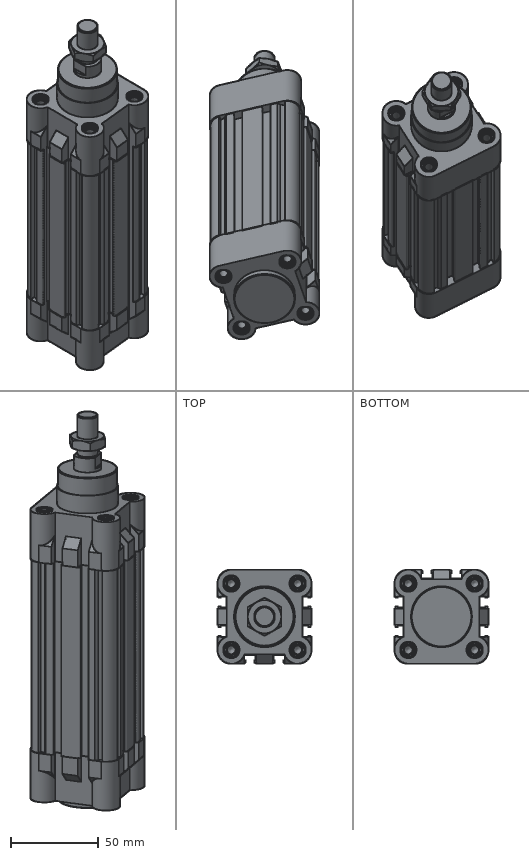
import cadquery as cq
import math


FRONT_FACE_Z = 175.0
COVER_HEIGHT = 29.6
TUBE_LENGTH = FRONT_FACE_Z - 2 * COVER_HEIGHT
COLLAR_HEIGHT = 21.5
COLLAR_STEP_HEIGHT = 10.75
SHOULDER_DISTANCE = 30.0
SHOULDER_Z = FRONT_FACE_Z + SHOULDER_DISTANCE
THREAD_LENGTH = 24.0
ROD_TIP_Z = SHOULDER_Z + THREAD_LENGTH
REAR_SPIGOT_HEIGHT = 4.0

HALF_WIDTH = 27.0
CORNER_RADIUS = 8.0
SCREW_OFFSET = HALF_WIDTH - CORNER_RADIUS
RECESSED_FACE = 21.5
TAB_HEIGHT = 10.5
TAB_SLOPE_HEIGHT = HALF_WIDTH - RECESSED_FACE
CENTER_TAB_HALF_WIDTH = 4.7
CORNER_TAB_INNER = 11.5
CORNER_TAB_OUTER = 19.2

COLLAR_DIAMETER = 35.0
COLLAR_TOP_DIAMETER = 34.0
COLLAR_CHAMFER = 0.5
SPIGOT_CHAMFER = 0.5

SCREW_HOLE_MOUTH_DIAMETER = 9.5
SCREW_HOLE_STEPS = [(9.0, 1.0), (8.0, 2.0), (6.0, 3.0), (4.92, 16.0)]
DRILL_POINT_ANGLE = 118.0

TUBE_HALF_WIDTH = 26.5
SLOT_INNER = 5.3
SLOT_OUTER = 11.5
SLOT_FLOOR = 22.0
LIP_RADIUS = 0.65
LIP_THICKNESS = 1.5
GROOVE_RIB_EDGE = 15.1
GROOVE_WALL = 19.3
GROOVE_FACET_SLOPES = [48.0, 27.0, 15.0]
GROOVE_FACET_WIDTH = (GROOVE_WALL - GROOVE_RIB_EDGE) / len(GROOVE_FACET_SLOPES)

ROD_DIAMETER = 16.0
THREAD_DIAMETER = 12.0
THREAD_TIP_DIAMETER = 10.65
THREAD_ROOT_DIAMETER = 11.45
FLATS_ACROSS = 13.0
FLATS_HEIGHT = 6.5

NUT_ACROSS_FLATS = 19.0
NUT_HEIGHT = 6.0
NUT_DISTANCE_FROM_TIP = 13.0
NUT_TOP_Z = ROD_TIP_Z - NUT_DISTANCE_FROM_TIP
NUT_CHAMFER_ANGLE = 30.0


def box(x_min, x_max, y_min, y_max, z_min, z_max):
    size = (x_max - x_min, y_max - y_min, z_max - z_min)
    return cq.Workplane("XY").box(*size, centered=False).translate((x_min, y_min, z_min))


def cylinder(diameter, z_min, z_max):
    return cq.Workplane("XY").workplane(offset=z_min).circle(diameter / 2).extrude(z_max - z_min)


def cover_tab(x_min, x_max):
    """Tab on the -Y side that joins the tube at the top and slopes back at 45 degrees below."""
    root_y = -RECESSED_FACE
    outer_y = -HALF_WIDTH
    lower_z = COVER_HEIGHT - TAB_HEIGHT
    outline = [
        (root_y, COVER_HEIGHT),
        (outer_y, COVER_HEIGHT),
        (outer_y, lower_z),
        (root_y, lower_z - TAB_SLOPE_HEIGHT),
    ]
    return cq.Workplane("YZ").workplane(offset=x_min).polyline(outline).close().extrude(x_max - x_min)


def screw_hole():
    """Stepped blind hole going up from z = 0, with a chamfered mouth and a drill point."""
    mouth_radius = SCREW_HOLE_MOUTH_DIAMETER / 2
    first_radius = SCREW_HOLE_STEPS[0][0] / 2
    outline = [(0, 0), (mouth_radius, 0)]
    depth = mouth_radius - first_radius
    for diameter, step_end in SCREW_HOLE_STEPS:
        outline += [(diameter / 2, depth), (diameter / 2, step_end)]
        depth = step_end
    tip_radius = SCREW_HOLE_STEPS[-1][0] / 2
    outline.append((0, depth + tip_radius / math.tan(math.radians(DRILL_POINT_ANGLE / 2))))
    return cq.Workplane("XZ").polyline(outline).close().revolve(360, (0, 0, 0), (0, 1, 0))


def end_cover():
    """Rear cover: full width on the +Y side, recessed between its corner posts on the others."""
    cover = box(-RECESSED_FACE, RECESSED_FACE, -RECESSED_FACE, SCREW_OFFSET, 0, COVER_HEIGHT)
    cover = cover.union(box(-SCREW_OFFSET, SCREW_OFFSET, 0, HALF_WIDTH, 0, COVER_HEIGHT))
    corners = [(x, y) for x in (-SCREW_OFFSET, SCREW_OFFSET) for y in (-SCREW_OFFSET, SCREW_OFFSET)]
    posts = cq.Workplane("XY").pushPoints(corners).circle(CORNER_RADIUS).extrude(COVER_HEIGHT)
    cover = cover.union(posts)

    tabs = cover_tab(-CENTER_TAB_HALF_WIDTH, CENTER_TAB_HALF_WIDTH)
    tabs = tabs.union(cover_tab(CORNER_TAB_INNER, CORNER_TAB_OUTER))
    tabs = tabs.union(cover_tab(-CORNER_TAB_OUTER, -CORNER_TAB_INNER))
    for angle in (-90, 0, 90):
        cover = cover.union(tabs.rotate((0, 0, 0), (0, 0, 1), angle))

    for x, y in corners:
        cover = cover.cut(screw_hole().translate((x, y, 0)))
    return cover


def sensor_slot():
    """Cutter for the undercut slot on the +Y side of the tube, with rounded lips at its mouth."""
    top = TUBE_HALF_WIDTH
    lip_bottom = top - LIP_THICKNESS
    mouth_inner = SLOT_INNER + LIP_RADIUS
    mouth_outer = SLOT_OUTER - LIP_RADIUS
    return (
        cq.Workplane("XY")
        .moveTo(SLOT_INNER, top)
        .radiusArc((mouth_inner, top - LIP_RADIUS), LIP_RADIUS)
        .lineTo(mouth_inner, lip_bottom)
        .lineTo(SLOT_INNER, lip_bottom)
        .lineTo(SLOT_INNER, SLOT_FLOOR)
        .lineTo(SLOT_OUTER, SLOT_FLOOR)
        .lineTo(SLOT_OUTER, lip_bottom)
        .lineTo(mouth_outer, lip_bottom)
        .lineTo(mouth_outer, top - LIP_RADIUS)
        .radiusArc((SLOT_OUTER, top), LIP_RADIUS)
        .close()
        .extrude(TUBE_LENGTH)
    )


def corner_groove():
    """Cutter for the faceted groove beside a corner, on the +Y side of the tube."""
    x, y = GROOVE_RIB_EDGE, TUBE_HALF_WIDTH
    outline = [(x, y)]
    for slope in GROOVE_FACET_SLOPES:
        x += GROOVE_FACET_WIDTH
        y -= GROOVE_FACET_WIDTH * math.tan(math.radians(slope))
        outline.append((x, y))
    lip_start = (GROOVE_WALL, TUBE_HALF_WIDTH - LIP_RADIUS)
    return (
        cq.Workplane("XY")
        .polyline(outline)
        .lineTo(*lip_start)
        .radiusArc((GROOVE_WALL + LIP_RADIUS, TUBE_HALF_WIDTH), LIP_RADIUS)
        .close()
        .extrude(TUBE_LENGTH)
    )


def profile_tube():
    """Square tube with rounded corners and the same slots and grooves on all four sides."""
    width = 2 * TUBE_HALF_WIDTH
    tube = cq.Workplane("XY").rect(width, width).extrude(TUBE_LENGTH)
    tube = tube.edges("|Z").fillet(TUBE_HALF_WIDTH - SCREW_OFFSET)
    for cutter in (sensor_slot(), corner_groove()):
        for side_cutter in (cutter, cutter.mirror("YZ")):
            for angle in (0, 90, 180, 270):
                tube = tube.cut(side_cutter.rotate((0, 0, 0), (0, 0, 1), angle))
    return tube.translate((0, 0, COVER_HEIGHT))


def collar():
    """Round collar on the front cover, slightly slimmer in its upper half."""
    step_z = FRONT_FACE_Z + COLLAR_STEP_HEIGHT
    upper = cylinder(COLLAR_TOP_DIAMETER, step_z, FRONT_FACE_Z + COLLAR_HEIGHT)
    upper = upper.faces(">Z").edges().chamfer(COLLAR_CHAMFER)
    return cylinder(COLLAR_DIAMETER, FRONT_FACE_Z, step_z).union(upper)


def make_housing():
    rear_cover = end_cover()
    front_cover = rear_cover.mirror("XY").translate((0, 0, FRONT_FACE_Z))
    spigot = cylinder(COLLAR_DIAMETER, -REAR_SPIGOT_HEIGHT, 0)
    spigot = spigot.faces("<Z").edges().chamfer(SPIGOT_CHAMFER)
    housing = rear_cover.union(profile_tube()).union(front_cover).union(collar()).union(spigot)
    rod_bore = cylinder(ROD_DIAMETER, FRONT_FACE_Z, FRONT_FACE_Z + COLLAR_HEIGHT)
    return housing.cut(rod_bore)


def make_rod():
    """Rod with two wrench flats facing -Y and +Y and a plain cylinder for the thread."""
    rod_radius = ROD_DIAMETER / 2
    thread_radius = THREAD_DIAMETER / 2
    root_radius = THREAD_ROOT_DIAMETER / 2
    tip_radius = THREAD_TIP_DIAMETER / 2
    outline = [
        (0, FRONT_FACE_Z),
        (rod_radius, FRONT_FACE_Z),
        (rod_radius, SHOULDER_Z),
        (root_radius, SHOULDER_Z),
        (thread_radius, SHOULDER_Z + thread_radius - root_radius),
        (thread_radius, ROD_TIP_Z - (thread_radius - tip_radius)),
        (tip_radius, ROD_TIP_Z),
        (0, ROD_TIP_Z),
    ]
    rod = cq.Workplane("XZ").polyline(outline).close().revolve(360, (0, 0, 0), (0, 1, 0))
    flat_y = FLATS_ACROSS / 2
    flat_cut = box(-rod_radius, rod_radius, flat_y, rod_radius, SHOULDER_Z - FLATS_HEIGHT, SHOULDER_Z)
    return rod.cut(flat_cut).cut(flat_cut.mirror("XZ"))


def make_nut():
    """Hexagon nut with flats facing -X and +X and both ends chamfered to the flats."""
    corner_radius = NUT_ACROSS_FLATS / math.sqrt(3)
    face_radius = NUT_ACROSS_FLATS / 2
    chamfer_height = (corner_radius - face_radius) * math.tan(math.radians(NUT_CHAMFER_ANGLE))
    bottom_z = NUT_TOP_Z - NUT_HEIGHT
    hexagon = cq.Workplane("XY").polygon(6, 2 * corner_radius).extrude(NUT_HEIGHT)
    hexagon = hexagon.rotate((0, 0, 0), (0, 0, 1), 90).translate((0, 0, bottom_z))
    outline = [
        (0, bottom_z),
        (face_radius, bottom_z),
        (corner_radius, bottom_z + chamfer_height),
        (corner_radius, NUT_TOP_Z - chamfer_height),
        (face_radius, NUT_TOP_Z),
        (0, NUT_TOP_Z),
    ]
    envelope = cq.Workplane("XZ").polyline(outline).close().revolve(360, (0, 0, 0), (0, 1, 0))
    return hexagon.intersect(envelope).cut(cylinder(THREAD_DIAMETER, bottom_z, NUT_TOP_Z))


housing = make_housing()
rod = make_rod()
nut = make_nut()
result = cq.Compound.makeCompound([housing.val(), rod.val(), nut.val()])